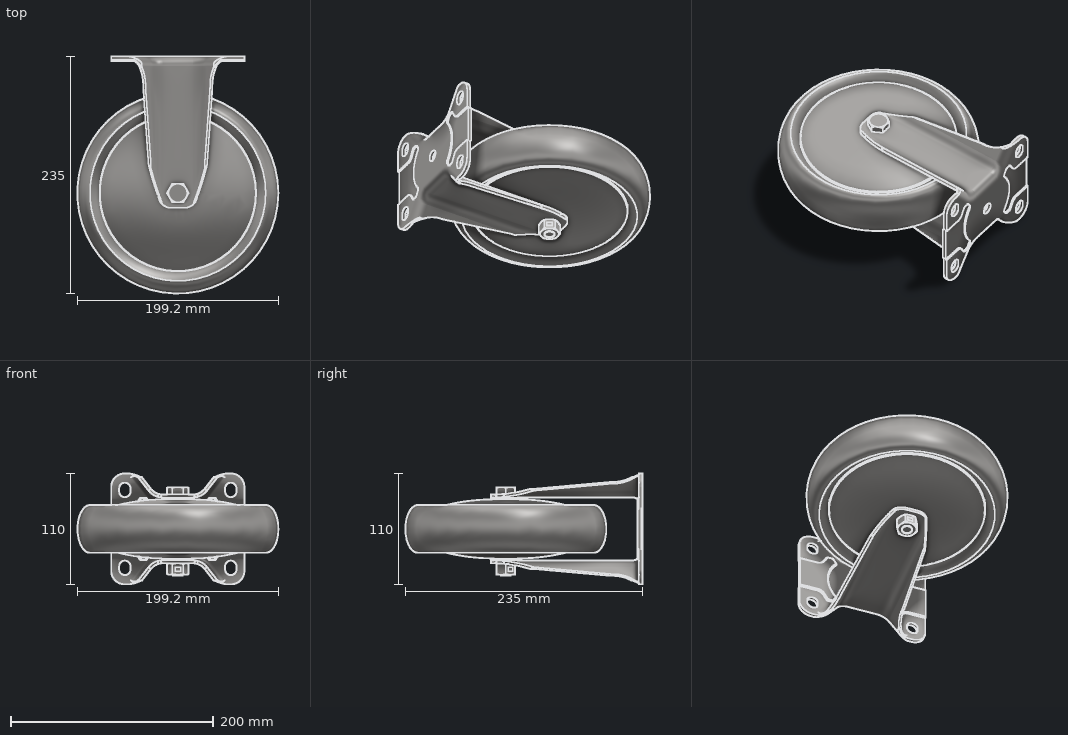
import cadquery as cq
import math


length = 235.0

wheel_radius = 99.6
wheel_half_width = 23.7
side_radius = 87.0
dish_radius = 77.5
dish_wall_top = 17.0
dish_floor = 13.0
dish_lip_middle = (81.8, 21.0)

cover_clearance = 0.5
cover_flat_radius = 11.5
cover_half_height = 29.4
cover_dome_radius = 204.5

web_half_width = 15.0
web_inner_z = 31.0
leg_thickness = 3.0
flange_angle = 52.0
flange_inner_bend = 17.6
leg_tip_y = -14.8
tip_half_width = 19.5
tip_corner_radius = 13.5
plate_thickness = 3.8
plate_bend_inner = 5.6
plate_bend_outer = 9.6
plate_width = 132.0
plate_height = 110.0
plate_corner_radius = 13.6
ear_round_start_x = 48.2
ear_round_middle = (42.3, 53.5)
ear_round_end = (35.7, 50.8)
flange_end_y = 27.7
flare_y = 103.9
flare_start = 8.7
flare_middle = (12.5, 121.0)
flare_end = 21.1
corner_trim_angle = 26.0
corner_trim_y = -9.2
corner_trim_x = 17.5

slot_spacing_x = 104.8
slot_spacing_z = 77.0
slot_width = 11.0
slot_length = 14.0
plate_hole_diameter = 11.0
pad_height = 1.5
pad_wall = 1.6
pad_overrun = 4.7
pad_slope = 1.2
pad_neck_fillet = 7.0
pad_tip_fillet = 2.3
pad_half_width = 20.0
pad_neck_x = 43.5
pad_tip = ((37.4, 31.0), (31.0, 31.0), (26.8, 24.0))

bolt_diameter = 10.0
bolt_end_z = -46.3
hex_across_flats = 18.5
hex_chamfer = 0.82
head_height = 7.3
nut_height = 11.3
mark_width = 5.5
mark_height = 4.0
mark_depth = 0.2
washer_diameter = 23.0

plate_outer_y = length - wheel_radius
plate_inner_y = plate_outer_y - plate_thickness
web_outer_z = web_inner_z + leg_thickness
slope = math.radians(flange_angle)
cover_radius = dish_radius - cover_clearance
beyond = 141.0


def bend_end(web_z, radius):
    """End of the bend between a leg's web and its flange, as (x, z)."""
    x = web_half_width + radius * math.sin(slope)
    z = web_z + radius * (1 - math.cos(slope))
    return x, z


def make_wheel():
    tread_depth = wheel_radius - side_radius
    body = (
        cq.Workplane("XZ")
        .moveTo(0, -wheel_half_width)
        .lineTo(side_radius, -wheel_half_width)
        .ellipseArc(tread_depth, wheel_half_width, -90, 90, startAtCurrent=True)
        .lineTo(0, wheel_half_width)
        .close()
        .revolve(360, (0, 0, 0), (0, 1, 0))
    )
    dish = (
        cq.Workplane("XZ")
        .moveTo(0, wheel_half_width)
        .lineTo(side_radius, wheel_half_width)
        .threePointArc(dish_lip_middle, (dish_radius, dish_wall_top))
        .lineTo(dish_radius, dish_floor)
        .lineTo(0, dish_floor)
        .close()
        .revolve(360, (0, 0, 0), (0, 1, 0))
    )
    bore = cq.Workplane("XY").circle(bolt_diameter / 2).extrude(wheel_half_width, both=True)
    return body.cut(dish).cut(dish.mirror("XY")).cut(bore)


def dome_height(radius):
    """Height of the domed cover face at a distance from the axis."""
    run = radius - cover_flat_radius
    return cover_half_height - cover_dome_radius + math.sqrt(cover_dome_radius**2 - run**2)


def make_cover():
    bore_radius = bolt_diameter / 2
    middle_radius = (cover_flat_radius + cover_radius) / 2
    return (
        cq.Workplane("XZ")
        .moveTo(bore_radius, dish_floor)
        .lineTo(cover_radius, dish_floor)
        .lineTo(cover_radius, dome_height(cover_radius))
        .threePointArc((middle_radius, dome_height(middle_radius)), (cover_flat_radius, cover_half_height))
        .lineTo(bore_radius, cover_half_height)
        .close()
        .revolve(360, (0, 0, 0), (0, 1, 0))
    )


def fork_block(web_z, bend_radius, end_y, end_fillet):
    """Block between two mirrored leg profiles, rounded where it meets the plate."""
    bend_x, bend_z = bend_end(web_z, bend_radius)
    mid_x = web_half_width + bend_radius * math.sin(slope / 2)
    mid_z = web_z + bend_radius * (1 - math.cos(slope / 2))
    far_x = plate_width
    far_z = bend_z + (far_x - bend_x) * math.tan(slope)
    return (
        cq.Workplane("XZ", origin=(0, end_y, 0))
        .moveTo(-far_x, -far_z)
        .lineTo(-bend_x, -bend_z)
        .threePointArc((-mid_x, -mid_z), (-web_half_width, -web_z))
        .lineTo(web_half_width, -web_z)
        .threePointArc((mid_x, -mid_z), (bend_x, -bend_z))
        .lineTo(far_x, -far_z)
        .lineTo(far_x, far_z)
        .lineTo(bend_x, bend_z)
        .threePointArc((mid_x, mid_z), (web_half_width, web_z))
        .lineTo(-web_half_width, web_z)
        .threePointArc((-mid_x, mid_z), (-bend_x, bend_z))
        .lineTo(-far_x, far_z)
        .close()
        .extrude(end_y - leg_tip_y)
        .faces(">Y").edges("not |Z").fillet(end_fillet)
    )


def trim_plane(origin_x, origin_z, angle):
    """Plane with local x along the sheet at an angle to X, and local y along Y."""
    turn = math.radians(angle)
    return cq.Plane(
        origin=(origin_x, 0, origin_z),
        xDir=(math.cos(turn), 0, math.sin(turn)),
        normal=(-math.sin(turn), 0, math.cos(turn)),
    )


def flange_trim():
    """Removes one flange past its edge, which tapers and then flares to the plate."""
    bend_x, bend_z = bend_end(web_inner_z, flange_inner_bend)
    return (
        cq.Workplane(trim_plane(bend_x, bend_z, flange_angle))
        .moveTo(0, flange_end_y)
        .lineTo(flare_start, flare_y)
        .threePointArc(flare_middle, (flare_end, plate_inner_y))
        .lineTo(beyond, plate_inner_y)
        .lineTo(beyond, leg_tip_y)
        .lineTo(0, leg_tip_y)
        .close()
        .extrude(beyond, both=True)
    )


def ear_trim():
    """Rounds the inner top corner of one ear, where the plate bends into the flange."""
    end_x, end_z = ear_round_end
    return (
        cq.Workplane("XZ", origin=(0, plate_outer_y, 0))
        .moveTo(ear_round_start_x, plate_height / 2)
        .threePointArc(ear_round_middle, (end_x, end_z))
        .lineTo(end_x, plate_height)
        .lineTo(ear_round_start_x, plate_height)
        .close()
        .extrude(plate_outer_y - flare_y)
    )


def corner_trim():
    """Removes the bent corner of a leg between its flange and its tip."""
    bend_x, bend_z = bend_end(web_inner_z, flange_inner_bend)
    turn = math.radians(corner_trim_angle)
    low = (corner_trim_x - bend_x) * math.cos(turn) + (web_inner_z - bend_z) * math.sin(turn)
    return (
        cq.Workplane(trim_plane(bend_x, bend_z, corner_trim_angle))
        .moveTo(0, flange_end_y)
        .lineTo(beyond, flange_end_y)
        .lineTo(beyond, 2 * leg_tip_y)
        .lineTo(low, 2 * leg_tip_y)
        .lineTo(low, corner_trim_y)
        .close()
        .extrude(beyond, both=True)
    )


def tip_outline():
    """Everything above the leg tips, with the tip corners rounded."""
    tip_top_y = leg_tip_y + tip_corner_radius
    depth = flange_end_y - leg_tip_y
    tip = (
        cq.Workplane("XY")
        .center(0, leg_tip_y + depth / 2)
        .rect(2 * tip_half_width, depth)
        .extrude(beyond, both=True)
        .edges("|Z and <Y").fillet(tip_corner_radius)
    )
    above = (
        cq.Workplane("XY")
        .center(0, tip_top_y + beyond / 2)
        .rect(plate_width, beyond)
        .extrude(beyond, both=True)
    )
    return tip.union(above)


def pad_block(start_y, depth):
    """Block with the outline of the +X pad, from start_y towards the wheel."""
    end_x = plate_width / 2 + pad_overrun
    inner_x = math.hypot(*pad_tip[-1])
    half = [(end_x, pad_half_width), (pad_neck_x, pad_half_width), *pad_tip]
    mirrored = [(x, -z) for x, z in reversed(half)]
    block = cq.Workplane("XZ", origin=(0, start_y, 0)).moveTo(*half[0])
    for point in half[1:]:
        block = block.lineTo(*point)
    block = block.threePointArc((inner_x, 0), mirrored[0])
    for point in mirrored[1:]:
        block = block.lineTo(*point)
    block = block.close().extrude(depth)
    necks = cq.selectors.BoxSelector(
        (pad_neck_x - pad_tip_fillet, start_y - depth, -pad_half_width - pad_tip_fillet),
        (pad_neck_x + pad_tip_fillet, start_y, pad_half_width + pad_tip_fillet),
    )
    block = block.edges("|Y").edges(necks).fillet(pad_neck_fillet)
    tips = cq.selectors.BoxSelector(
        (0, start_y - depth, -plate_height),
        (pad_tip[0][0] + pad_tip_fillet / 2, start_y, plate_height),
    )
    return block.edges("|Y").edges(tips).fillet(pad_tip_fillet)


def plate_holes():
    """Four slots and a central hole through the plate."""
    plate_face = cq.Workplane("XZ", origin=(0, plate_outer_y, 0))
    slots = (
        plate_face
        .rect(slot_spacing_x, slot_spacing_z, forConstruction=True)
        .vertices()
        .slot2D(slot_length, slot_width, 90)
        .extrude(2 * plate_thickness)
    )
    centre_hole = plate_face.circle(plate_hole_diameter / 2).extrude(2 * plate_thickness)
    return slots.union(centre_hole)


def make_fork():
    outer = fork_block(web_outer_z, flange_inner_bend - leg_thickness, plate_outer_y, plate_bend_outer)
    inner = fork_block(web_inner_z, flange_inner_bend, plate_inner_y, plate_bend_inner)
    plate_outline = (
        cq.Workplane("XZ", origin=(0, plate_outer_y, 0))
        .rect(plate_width, plate_height)
        .extrude(plate_outer_y - leg_tip_y)
        .edges("|Y").fillet(plate_corner_radius)
    )
    fork = outer.cut(inner).intersect(plate_outline).intersect(tip_outline())

    for trim in (flange_trim(), ear_trim(), corner_trim()):
        for piece in (trim, trim.mirror("YZ")):
            fork = fork.cut(piece).cut(piece.mirror("XY"))

    middle_y = plate_outer_y - plate_thickness / 2
    pad = pad_block(middle_y, plate_thickness / 2 + pad_height)
    recess_wall = pad_block(plate_outer_y, pad_height).faces("<Y").wires()
    recess = recess_wall.toPending().offset2D(-pad_wall).extrude(-pad_height)
    pad = pad.faces("<Y").edges().chamfer(pad_slope).intersect(plate_outline)
    for turn in (0, 180):
        fork = fork.union(pad.rotate((0, 0, 0), (0, 1, 0), turn))
        fork = fork.cut(recess.rotate((0, 0, 0), (0, 1, 0), turn))

    axle_holes = cq.Workplane("XY").circle(bolt_diameter / 2).extrude(beyond, both=True)
    return fork.cut(plate_holes()).cut(axle_holes)


def hex_block(bottom_z, height, bottom_chamfered):
    """Hexagon with corners on X, its corners chamfered by a cone at one or both ends."""
    corner_diameter = hex_across_flats / math.cos(math.pi / 6)
    hexagon = cq.Workplane("XY", origin=(0, 0, bottom_z)).polygon(6, corner_diameter).extrude(height)
    cone = cq.Workplane("XY", origin=(0, 0, bottom_z)).circle(corner_diameter / 2).extrude(height)
    run = (corner_diameter - hex_across_flats) / 2
    cone = cone.faces(">Z").chamfer(hex_chamfer, run)
    if bottom_chamfered:
        cone = cone.faces("<Z").chamfer(hex_chamfer, run)
    return hexagon.intersect(cone)


def make_bolt():
    shank = (
        cq.Workplane("XY", origin=(0, 0, bolt_end_z))
        .circle(bolt_diameter / 2)
        .extrude(web_outer_z - bolt_end_z)
    )
    return hex_block(web_outer_z, head_height, False).union(shank)


def make_nut():
    bottom_z = -web_outer_z - nut_height
    nut = hex_block(bottom_z, nut_height, True)
    mark = cq.Workplane("XY").box(mark_width, 2 * mark_depth, mark_height)
    mark = mark.translate((0, -hex_across_flats / 2, bottom_z + nut_height / 2))
    for turn in (0, 120, 240):
        nut = nut.cut(mark.rotate((0, 0, 0), (0, 0, 1), turn))
    bore = cq.Workplane("XY", origin=(0, 0, bottom_z)).circle(bolt_diameter / 2).extrude(nut_height)
    return nut.cut(bore)


def make_washer():
    return (
        cq.Workplane("XY", origin=(0, 0, cover_half_height))
        .circle(washer_diameter / 2)
        .circle(bolt_diameter / 2)
        .extrude(web_inner_z - cover_half_height)
    )


fork = make_fork()
wheel = make_wheel()
bolt = make_bolt()
nut = make_nut()

covers = []
washers = []
for turn in (0, 180):
    covers.append(make_cover().rotate((0, 0, 0), (1, 0, 0), turn))
    washers.append(make_washer().rotate((0, 0, 0), (1, 0, 0), turn))

result = cq.Compound.makeCompound(
    [body.solids().val() for body in (fork, wheel, bolt, nut, *covers, *washers)]
)